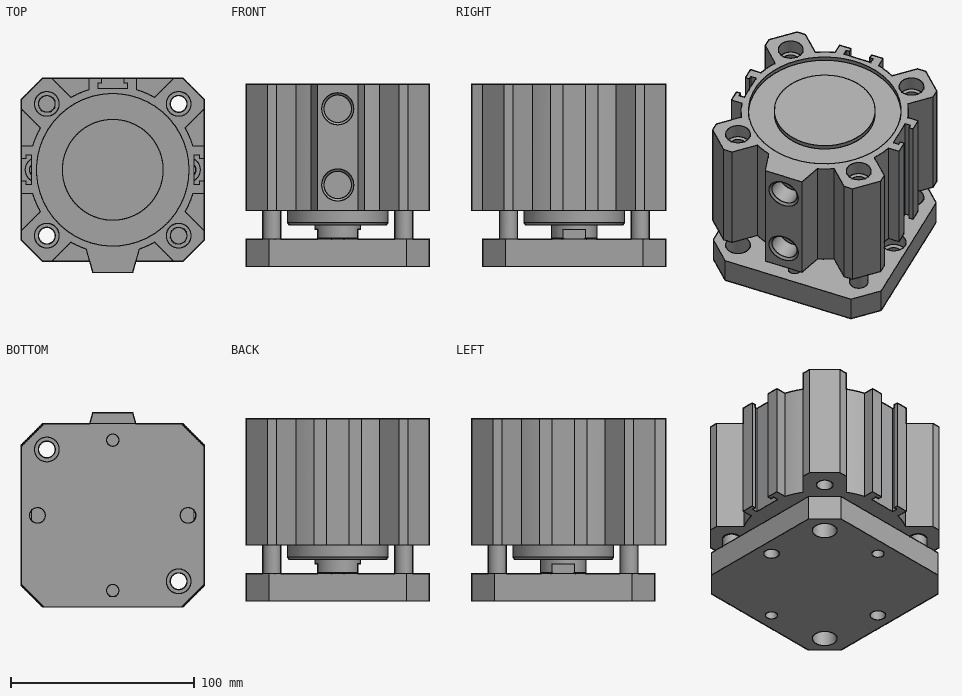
import cadquery as cq
import math

PLATE_THICKNESS = 14.9
HOUSING_BOTTOM = 30.5
HOUSING_HEIGHT = 69.0
HOUSING_TOP = HOUSING_BOTTOM + HOUSING_HEIGHT

SIDE = 100.0
HALF_SIDE = SIDE / 2
CORNER_HOLE_OFFSET = 35.9
SCREW_HEAD_DIAMETER = 13.5

BARREL_DIAMETER = 91.2
LEG_CHAMFER = 11.7
LEG_WIDTH = 23.5
LEG_HOLE_DIAMETER = 9.0
LEG_COUNTERBORE_DEPTH = 8.5

RAIL_WIDTH = 26.0
RAIL_INSET = 0.1
RAIL_REACH = HALF_SIDE - RAIL_INSET
SLOT_MOUTH_WIDTH = 12.1
SLOT_WIDTH = 16.1
SLOT_LIP = 2.4
SLOT_DEPTH = 5.5
RAIL_ANGLES = (0, 90, 180)

OVERALL_DEPTH = 106.0
PORT_FACE_Y = HALF_SIDE - OVERALL_DEPTH
PORT_FACE_WIDTH = 21.8
PORT_BASE_WIDTH = 29.0
PORT_BASE_Y = -43.0
PORT_DIAMETER = 14.9
PORT_CHAMFER = 1.3
PORT_DEPTH = 12.0
UPPER_PORT_DROP = 13.5
LOWER_PORT_DROP = 55.0

RECESS_DIAMETER = 83.2
RECESS_DEPTH = 2.5
BOSS_DIAMETER = 55.0
BOSS_HEIGHT = 7.8
BOSS_CHAMFER_HEIGHT = 1.4
BOSS_CHAMFER_WIDTH = 1.0
BOSS_BOTTOM = HOUSING_BOTTOM - BOSS_HEIGHT

PLATE_CHAMFER = 12.5
ROD_DIAMETER = 25.0
ROD_CHAMFER = 0.5
FLATS_WIDTH = 21.8
FLATS_TOP = 20.4
GUIDE_ROD_DIAMETER = 10.0
PLATE_HOLE_OFFSET = 41.0
PLATE_SCREW_DIAMETER = 8.5
PLATE_COUNTERBORE_DEPTH = 8.3
TAPPED_HOLE_DIAMETER = 6.7

ACCESS_CORNERS = [(s * CORNER_HOLE_OFFSET, s * CORNER_HOLE_OFFSET) for s in (-1, 1)]
GUIDE_CORNERS = [(s * CORNER_HOLE_OFFSET, -s * CORNER_HOLE_OFFSET) for s in (-1, 1)]


def at_height(z):
    return cq.Workplane("XY", origin=(0, 0, z))


def chamfered_square(z, height, chamfer):
    return at_height(z).rect(SIDE, SIDE).extrude(height).edges("|Z").chamfer(chamfer)


def make_legs():
    """Four corner legs: a diagonal cross trimmed to the chamfered footprint."""
    diagonal = SIDE * math.sqrt(2)
    cross = at_height(HOUSING_BOTTOM).rect(diagonal, LEG_WIDTH).extrude(HOUSING_HEIGHT)
    cross = cross.union(cross.rotate((0, 0, 0), (0, 0, 1), 90))
    cross = cross.rotate((0, 0, 0), (0, 0, 1), 45)
    return cross.intersect(chamfered_square(HOUSING_BOTTOM, HOUSING_HEIGHT, LEG_CHAMFER))


def make_rail():
    """Plain rail on the +X side, running from the axis to its outer face."""
    return (
        at_height(HOUSING_BOTTOM)
        .center(RAIL_REACH / 2, 0)
        .rect(RAIL_REACH, RAIL_WIDTH)
        .extrude(HOUSING_HEIGHT)
    )


def make_t_slot():
    """T-slot cutter for the +X rail, over the full housing height."""
    floor_x = RAIL_REACH - SLOT_DEPTH
    lip_x = RAIL_REACH - SLOT_LIP
    mouth = (
        at_height(HOUSING_BOTTOM)
        .center((floor_x + RAIL_REACH) / 2, 0)
        .rect(RAIL_REACH - floor_x, SLOT_MOUTH_WIDTH)
        .extrude(HOUSING_HEIGHT)
    )
    undercut = (
        at_height(HOUSING_BOTTOM)
        .center((floor_x + lip_x) / 2, 0)
        .rect(lip_x - floor_x, SLOT_WIDTH)
        .extrude(HOUSING_HEIGHT)
    )
    return mouth.union(undercut)


def make_port_block():
    """Tapered block on the -Y side; its root is buried in the barrel."""
    return (
        at_height(HOUSING_BOTTOM)
        .moveTo(-PORT_FACE_WIDTH / 2, PORT_FACE_Y)
        .lineTo(PORT_FACE_WIDTH / 2, PORT_FACE_Y)
        .lineTo(PORT_BASE_WIDTH / 2, PORT_BASE_Y)
        .lineTo(0, 0)
        .lineTo(-PORT_BASE_WIDTH / 2, PORT_BASE_Y)
        .close()
        .extrude(HOUSING_HEIGHT)
    )


def make_port(z):
    """Cutter for one blind port with a chamfered mouth, revolved about its own axis."""
    radius = PORT_DIAMETER / 2
    return (
        cq.Workplane("XY", origin=(0, PORT_FACE_Y, z))
        .lineTo(radius + PORT_CHAMFER, 0)
        .lineTo(radius, PORT_CHAMFER)
        .lineTo(radius, PORT_DEPTH)
        .lineTo(0, PORT_DEPTH)
        .close()
        .revolve(360, (0, 0, 0), (0, 1, 0))
    )


def make_end_recess():
    """Ring-shaped recess in the top face, leaving a central disc flush with it."""
    return (
        at_height(HOUSING_TOP - RECESS_DEPTH)
        .circle(RECESS_DIAMETER / 2)
        .circle(BOSS_DIAMETER / 2)
        .extrude(RECESS_DEPTH)
    )


def make_boss():
    """Rod-end boss under the housing with a chamfered lower rim."""
    boss = at_height(BOSS_BOTTOM).circle(BOSS_DIAMETER / 2).extrude(BOSS_HEIGHT)
    return boss.faces("<Z").chamfer(BOSS_CHAMFER_HEIGHT, BOSS_CHAMFER_WIDTH)


def make_housing():
    barrel = at_height(HOUSING_BOTTOM).circle(BARREL_DIAMETER / 2).extrude(HOUSING_HEIGHT)
    housing = barrel.union(make_legs()).union(make_port_block()).union(make_boss())
    for angle in RAIL_ANGLES:
        housing = housing.union(make_rail().rotate((0, 0, 0), (0, 0, 1), angle))
    for angle in RAIL_ANGLES:
        housing = housing.cut(make_t_slot().rotate((0, 0, 0), (0, 0, 1), angle))
    for drop in (UPPER_PORT_DROP, LOWER_PORT_DROP):
        housing = housing.cut(make_port(HOUSING_TOP - drop))
    housing = housing.cut(make_end_recess())
    leg_holes = at_height(HOUSING_TOP).pushPoints(ACCESS_CORNERS + GUIDE_CORNERS)
    shafts = leg_holes.circle(LEG_HOLE_DIAMETER / 2).extrude(-HOUSING_HEIGHT)
    counterbores = leg_holes.circle(SCREW_HEAD_DIAMETER / 2).extrude(-LEG_COUNTERBORE_DEPTH)
    return housing.cut(shafts).cut(counterbores)


def make_piston_rod():
    """Rod from the plate up to the boss, with two wrench flats facing left and right."""
    rod = (
        at_height(PLATE_THICKNESS)
        .circle(ROD_DIAMETER / 2)
        .extrude(BOSS_BOTTOM - PLATE_THICKNESS)
        .faces("<Z")
        .chamfer(ROD_CHAMFER)
    )
    flats_height = FLATS_TOP - PLATE_THICKNESS
    flats_envelope = at_height(PLATE_THICKNESS).rect(ROD_DIAMETER, ROD_DIAMETER).extrude(flats_height)
    flats_core = at_height(PLATE_THICKNESS).rect(FLATS_WIDTH, ROD_DIAMETER).extrude(flats_height)
    return rod.cut(flats_envelope.cut(flats_core))


def make_plate_holes(points, diameter, depth):
    """Round cutters sunk into the plate from its top face."""
    return at_height(PLATE_THICKNESS).pushPoints(points).circle(diameter / 2).extrude(-depth)


def make_plate():
    """Tooling plate with access holes, counterbored screw holes and tapped holes."""
    side_points = [(-PLATE_HOLE_OFFSET, 0), (PLATE_HOLE_OFFSET, 0)]
    end_points = [(0, -PLATE_HOLE_OFFSET), (0, PLATE_HOLE_OFFSET)]
    access_holes = make_plate_holes(ACCESS_CORNERS, SCREW_HEAD_DIAMETER, PLATE_THICKNESS)
    screw_holes = make_plate_holes(side_points, PLATE_SCREW_DIAMETER, PLATE_THICKNESS)
    counterbores = make_plate_holes(side_points, SCREW_HEAD_DIAMETER, PLATE_COUNTERBORE_DEPTH)
    tapped_holes = make_plate_holes(end_points, TAPPED_HOLE_DIAMETER, PLATE_THICKNESS)
    plate = chamfered_square(0, PLATE_THICKNESS, PLATE_CHAMFER)
    return plate.cut(access_holes).cut(screw_holes).cut(counterbores).cut(tapped_holes)


def make_carriage():
    """Plate, piston rod and both guide rods, which move together as one body."""
    guide_rods = (
        at_height(PLATE_THICKNESS)
        .pushPoints(GUIDE_CORNERS)
        .circle(GUIDE_ROD_DIAMETER / 2)
        .extrude(HOUSING_BOTTOM - PLATE_THICKNESS)
    )
    return make_plate().union(make_piston_rod()).union(guide_rods)


housing = make_housing()
carriage = make_carriage()

result = cq.Compound.makeCompound([housing.val(), carriage.val()])